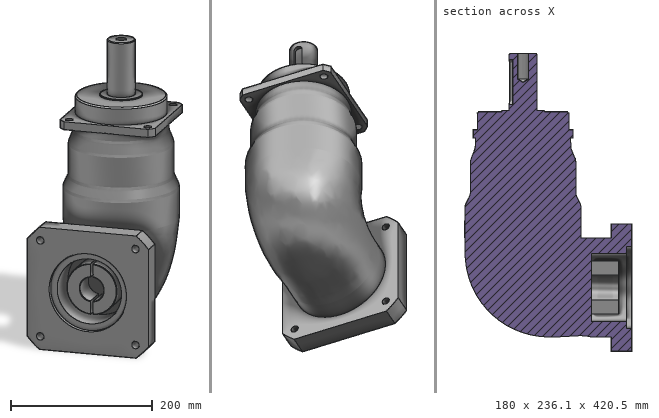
import cadquery as cq
import math


plate_size = 180.0
plate_thickness = 29.0
plate_corner_dia = 230.0
plate_hole_spacing = 141.5
plate_hole_dia = 11.0
plate_front_y = -153.5
plate_back_y = plate_front_y + plate_thickness

recess_dia = 115.0
recess_depth = 7.0
bore_dia = 95.5
bore_depth = 57.0
hub_dia = 74.5
hub_face_depth = 18.0
hub_bore_dia = 35.5
hub_chamfer = 1.0
slit_width = 4.0

body_radius = 82.5
tube_radius = 70.3
elbow_top_z = tube_radius
elbow_end_y = -96.8
elbow_bend_radius = 120.0
bend_center_y = body_radius - elbow_bend_radius
bend_center_z = elbow_bend_radius - tube_radius
inner_section_count = 6

middle_radius = 75.0
neck_radius = 67.7
lower_cone_bottom_z = 115.3
lower_cone_height = 16.0
upper_cone_bottom_z = 179.2
upper_cone_height = 18.0
lower_cone_top_z = lower_cone_bottom_z + lower_cone_height
upper_cone_top_z = upper_cone_bottom_z + upper_cone_height
cone_fillet = 10.0

flange_size = 141.5
flange_thickness = 11.8
flange_bottom_z = 211.0
flange_corner_dia = 188.5
flange_hole_spacing = 116.5
flange_hole_dia = 11.0
flange_top_z = flange_bottom_z + flange_thickness

pilot_dia = 130.0
pilot_height = 25.5
pilot_chamfer = 2.0
pilot_top_z = flange_top_z + pilot_height
ring_dia = 61.0
ring_height = 1.5
ring_chamfer = 1.0
shaft_dia = 40.0
overall_height = 420.5
shaft_top_z = overall_height - plate_size / 2
shaft_chamfer = 1.3
shaft_hole_dia = 14.7
shaft_hole_depth = 36.0
drill_tip_angle = 118
key_width = 12.0
key_length = 63.0
key_depth = 5.0
key_end_gap = 9.0


def disc(diameter, bottom_z, top_z):
    """Upright cylinder on the output axis."""
    return cq.Workplane("XY").workplane(offset=bottom_z).circle(diameter / 2).extrude(top_z - bottom_z)


def input_disc(diameter, front_y, back_y):
    """Cylinder on the input axis, between two Y levels."""
    plane = cq.Plane(origin=(0, front_y, 0), xDir=(1, 0, 0), normal=(0, 1, 0))
    return cq.Workplane(plane).circle(diameter / 2).extrude(back_y - front_y)


def square_plate(plane, size, thickness, corner_dia, hole_spacing, hole_dia):
    """Square plate with turned corners and four through holes, grown along the plane's normal."""
    corner_disc = cq.Workplane(plane).circle(corner_dia / 2).extrude(thickness)
    holes = (
        cq.Workplane(plane)
        .rect(hole_spacing, hole_spacing, forConstruction=True)
        .vertices()
        .circle(hole_dia / 2)
        .extrude(thickness)
    )
    return cq.Workplane(plane).rect(size, size).extrude(thickness).intersect(corner_disc).cut(holes)


def elbow_section(inner, outer, half_width):
    """Elliptic section spanning two (y, z) points, with the given half width along X."""
    span_y = outer[0] - inner[0]
    span_z = outer[1] - inner[1]
    half_span = max(half_width, math.hypot(span_y, span_z) / 2)
    center = cq.Vector(0, inner[0] + span_y / 2, inner[1] + span_z / 2)
    normal = cq.Vector(0, span_z, -span_y)
    x_dir = cq.Vector(0, span_y, span_z)
    return cq.Wire.makeEllipse(half_span, half_width, center, normal, x_dir)


def elbow():
    """Bend whose sections fan out about the inside corner while narrowing to the tube."""
    sections = [elbow_section((-body_radius, elbow_top_z), (body_radius, elbow_top_z), body_radius)]
    for index in range(inner_section_count):
        share = (index + 1) / (inner_section_count + 1)
        angle = math.pi / 2 * index / (inner_section_count - 1)
        inner = (-body_radius + share * (elbow_end_y + body_radius), elbow_top_z)
        outer = (
            bend_center_y + elbow_bend_radius * math.cos(angle),
            bend_center_z - elbow_bend_radius * math.sin(angle),
        )
        half_width = body_radius + share * (tube_radius - body_radius)
        sections.append(elbow_section(inner, outer, half_width))
    sections.append(elbow_section((elbow_end_y, elbow_top_z), (elbow_end_y, -tube_radius), tube_radius))
    return cq.Workplane(cq.Solid.makeLoft(sections))


def output_housing():
    """Turned housing with two cones blended into the cylinders they join."""
    profile = [
        (0, elbow_top_z),
        (body_radius, elbow_top_z),
        (body_radius, lower_cone_bottom_z),
        (middle_radius, lower_cone_top_z),
        (middle_radius, upper_cone_bottom_z),
        (neck_radius, upper_cone_top_z),
        (neck_radius, flange_bottom_z),
        (0, flange_bottom_z),
    ]
    housing = cq.Workplane("XZ").polyline(profile).close().revolve(360, (0, 0, 0), (0, 1, 0))
    return housing.faces("%CONE").edges("%CIRCLE").fillet(cone_fillet)


def output_shaft():
    """Shaft with a centre hole in its end and a closed keyway on its +Y side."""
    shaft = disc(shaft_dia, pilot_top_z, shaft_top_z).faces(">Z").chamfer(shaft_chamfer)
    shaft = shaft.faces(">Z").workplane().hole(shaft_hole_dia, shaft_hole_depth)
    tip_height = shaft_hole_dia / 2 / math.tan(math.radians(drill_tip_angle / 2))
    tip = cq.Solid.makeCone(
        shaft_hole_dia / 2, 0, tip_height,
        pnt=cq.Vector(0, 0, shaft_top_z - shaft_hole_depth), dir=cq.Vector(0, 0, -1),
    )
    key_center_z = shaft_top_z - key_end_gap - key_length / 2
    keyway = (
        cq.Workplane("XZ", origin=(0, shaft_dia / 2, key_center_z))
        .slot2D(key_length, key_width, 90)
        .extrude(key_depth)
    )
    return shaft.cut(cq.Workplane(tip)).cut(keyway)


def clamping_hub():
    """Split collar standing on the floor of the input bore."""
    face_y = plate_front_y + hub_face_depth
    floor_y = plate_front_y + bore_depth
    hub = input_disc(hub_dia, face_y, floor_y).cut(input_disc(hub_bore_dia, face_y, floor_y))
    hub = hub.faces("<Y").edges().chamfer(hub_chamfer)
    slit = cq.Workplane("XY").box(slit_width, bore_depth, hub_dia).translate((0, floor_y - bore_depth / 2, 0))
    return hub.cut(slit)


input_plane = cq.Plane(origin=(0, plate_front_y, 0), xDir=(1, 0, 0), normal=(0, 1, 0))
flange_plane = cq.Plane(origin=(0, 0, flange_bottom_z))
result = square_plate(
    input_plane, plate_size, plate_thickness, plate_corner_dia, plate_hole_spacing, plate_hole_dia
)
result = result.union(input_disc(2 * tube_radius, plate_back_y, elbow_end_y))
result = result.union(elbow())
result = result.union(output_housing())
result = result.union(
    square_plate(
        flange_plane, flange_size, flange_thickness, flange_corner_dia, flange_hole_spacing, flange_hole_dia
    )
)

result = result.union(disc(pilot_dia, flange_top_z, pilot_top_z).faces(">Z").chamfer(pilot_chamfer))
seal_ring = disc(ring_dia, pilot_top_z, pilot_top_z + ring_height).faces(">Z").chamfer(ring_chamfer)
result = result.union(seal_ring)
result = result.union(output_shaft())

result = result.cut(input_disc(recess_dia, plate_front_y, plate_front_y + recess_depth))
result = result.cut(input_disc(bore_dia, plate_front_y, plate_front_y + bore_depth))
result = result.union(clamping_hub())